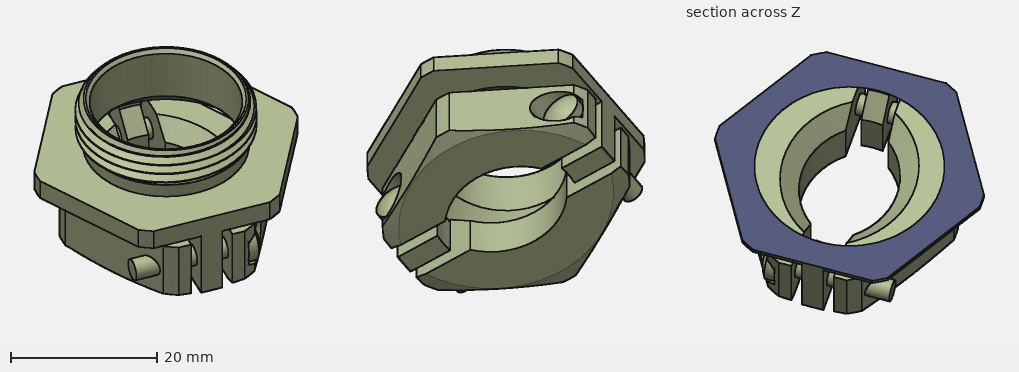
import cadquery as cq
import math


ACROSS_FLATS = 33.93
CORNER_RADIUS = 19.0
BOTTOM_RADIUS = 16.8
BODY_CHAMFER_ANGLE = 16.0

JAW_TOP = 9.0
PLATE_BOTTOM = 10.0
PLATE_TOP = 13.0
THREAD_BOTTOM = 15.0
TOTAL_HEIGHT = 21.0

BORE_RADIUS = 10.45
CHAMBER_RADIUS = 13.5
CHAMBER_BOTTOM = 9.45
CHAMBER_CONE_HEIGHT = CHAMBER_RADIUS - BORE_RADIUS
MOUTH_CHAMFER = 0.55

NECK_RADIUS = 11.4
THREAD_ROOT_RADIUS = 11.47
THREAD_CREST_RADIUS = 12.42
THREAD_PITCH = 1.52
THREAD_CREST_FLAT = 0.1
THREAD_ROOT_FLAT = 0.23
THREAD_CREST_HEIGHT = 17.95
GROOVE_TURNS = 5
GROOVE_OVERCUT = 0.05
SPIGOT_TOP_RADIUS = 11.3
SPIGOT_TOP_TAPER_HEIGHT = 1.45

WEB_THICKNESS = 3.08
JAW_HALF_GAP = 3.05
JAW_SHIFT = 3.7

SCREW_X = 13.9
SCREW_HEIGHT = 4.5
SCREW_DIAMETER = 3.05
SCREW_END_Y = -10.5
HEAD_SEAT_Y = 5.6
HEAD_RADIUS = 2.8
HEAD_RIM_HEIGHT = 1.45
HEAD_DOME_HEIGHT = 0.87
COUNTERBORE_RADIUS = 3.23


def hexagon_prism(bottom, top):
    """Hexagon with flats facing +X and -X and turned corners."""
    across_corners = ACROSS_FLATS / math.cos(math.radians(30))
    height = top - bottom
    hexagon = (
        cq.Workplane("XY").workplane(offset=bottom)
        .polygon(6, across_corners).extrude(height)
        .rotate((0, 0, 0), (0, 0, 1), 30)
    )
    turned = cq.Workplane("XY").workplane(offset=bottom).circle(CORNER_RADIUS).extrude(height)
    return hexagon.intersect(turned)


def box_between(x_range, y_range, z_range):
    """Box spanning the given ranges."""
    (x0, x1), (y0, y1), (z0, z1) = x_range, y_range, z_range
    return cq.Workplane("XY").box(x1 - x0, y1 - y0, z1 - z0, centered=False).translate((x0, y0, z0))


def turned_about_z(points):
    """Solid of revolution about Z from (radius, height) points, profiled on the +Y side."""
    return cq.Workplane("YZ").polyline(points).close().revolve(360, (0, 0, 0), (0, 1, 0))


def make_passage():
    """Through bore with its seal chamber and chamfered mouth."""
    return turned_about_z([
        (0, 0),
        (BORE_RADIUS, 0),
        (BORE_RADIUS, CHAMBER_BOTTOM - CHAMBER_CONE_HEIGHT),
        (CHAMBER_RADIUS, CHAMBER_BOTTOM),
        (CHAMBER_RADIUS, PLATE_BOTTOM),
        (BORE_RADIUS, PLATE_BOTTOM + CHAMBER_CONE_HEIGHT),
        (BORE_RADIUS, TOTAL_HEIGHT - MOUTH_CHAMFER),
        (BORE_RADIUS + MOUTH_CHAMFER, TOTAL_HEIGHT),
        (0, TOTAL_HEIGHT),
    ])


def make_lower_hexagon():
    """Hexagon below the plate with its bottom corners chamfered."""
    rise = (CORNER_RADIUS - BOTTOM_RADIUS) * math.tan(math.radians(BODY_CHAMFER_ANGLE))
    envelope = turned_about_z([
        (0, 0), (BOTTOM_RADIUS, 0), (CORNER_RADIUS, rise), (CORNER_RADIUS, PLATE_BOTTOM), (0, PLATE_BOTTOM),
    ])
    return hexagon_prism(0, PLATE_BOTTOM).intersect(envelope)


def make_thread():
    """Right-handed thread cut as a helical groove into a blank tapered at both ends."""
    blank = turned_about_z([
        (0, THREAD_BOTTOM),
        (NECK_RADIUS, THREAD_BOTTOM),
        (THREAD_CREST_RADIUS, THREAD_BOTTOM + THREAD_CREST_RADIUS - NECK_RADIUS),
        (THREAD_CREST_RADIUS, TOTAL_HEIGHT - SPIGOT_TOP_TAPER_HEIGHT),
        (SPIGOT_TOP_RADIUS, TOTAL_HEIGHT),
        (0, TOTAL_HEIGHT),
    ])
    start = THREAD_CREST_HEIGHT - (GROOVE_TURNS / 2) * THREAD_PITCH
    half_root = THREAD_ROOT_FLAT / 2
    half_mouth = (THREAD_PITCH - THREAD_CREST_FLAT) / 2
    flank_slope = (half_mouth - half_root) / (THREAD_CREST_RADIUS - THREAD_ROOT_RADIUS)
    outer_radius = THREAD_CREST_RADIUS + GROOVE_OVERCUT
    half_outer = half_mouth + flank_slope * GROOVE_OVERCUT
    helix = cq.Wire.makeHelix(THREAD_PITCH, GROOVE_TURNS * THREAD_PITCH, THREAD_ROOT_RADIUS)
    groove = (
        cq.Workplane("XZ")
        .polyline([
            (THREAD_ROOT_RADIUS, -half_root),
            (outer_radius, -half_outer),
            (outer_radius, half_outer),
            (THREAD_ROOT_RADIUS, half_root),
        ])
        .close()
        .sweep(cq.Workplane(obj=helix), isFrenet=True)
        .translate((0, 0, start))
    )
    return blank.cut(groove)


def make_body(passage, lower_hexagon):
    """Plate, threaded spigot and the two webs that hang below the plate."""
    neck = (
        cq.Workplane("XY").workplane(offset=PLATE_TOP)
        .circle(NECK_RADIUS).extrude(THREAD_BOTTOM - PLATE_TOP)
    )
    web_slab = box_between(
        (-CORNER_RADIUS, CORNER_RADIUS), (-WEB_THICKNESS / 2, WEB_THICKNESS / 2), (0, PLATE_BOTTOM))
    webs = lower_hexagon.intersect(web_slab)
    plate = hexagon_prism(PLATE_BOTTOM, PLATE_TOP)
    return plate.union(webs).union(neck).union(make_thread()).cut(passage)


def make_front_jaw(passage, lower_hexagon):
    """Jaw on the -Y side, slid inward to its clamped position."""
    jaw_region = box_between(
        (-CORNER_RADIUS, CORNER_RADIUS), (-CORNER_RADIUS, -JAW_HALF_GAP - JAW_SHIFT), (0, JAW_TOP))
    return lower_hexagon.intersect(jaw_region).cut(passage).translate((0, JAW_SHIFT, 0))


def cylinder_along_y(x, radius, y_start, y_end):
    """Cylinder parallel to Y at screw height."""
    return (
        cq.Workplane("XZ", origin=(x, y_end, SCREW_HEIGHT))
        .circle(radius).extrude(y_end - y_start)
    )


def make_screw(x):
    """Screw with a domed cylindrical head."""
    rim_y = HEAD_SEAT_Y + HEAD_RIM_HEIGHT
    dome_y = rim_y + HEAD_DOME_HEIGHT
    dome_radius = (HEAD_RADIUS ** 2 + HEAD_DOME_HEIGHT ** 2) / (2 * HEAD_DOME_HEIGHT)
    dome_mid = dome_radius * math.sin(math.asin(HEAD_RADIUS / dome_radius) / 2)
    dome_mid_y = dome_y - dome_radius + math.sqrt(dome_radius ** 2 - dome_mid ** 2)
    head = (
        cq.Workplane("XY")
        .moveTo(0, HEAD_SEAT_Y)
        .lineTo(HEAD_RADIUS, HEAD_SEAT_Y)
        .lineTo(HEAD_RADIUS, rim_y)
        .threePointArc((dome_mid, dome_mid_y), (0, dome_y))
        .close()
        .revolve(360, (0, 0, 0), (0, 1, 0))
        .translate((x, 0, SCREW_HEIGHT))
    )
    shank = cylinder_along_y(x, SCREW_DIAMETER / 2, SCREW_END_Y, HEAD_SEAT_Y)
    return shank.union(head)


passage = make_passage()
lower_hexagon = make_lower_hexagon()
front_jaw = make_front_jaw(passage, lower_hexagon)
rear_jaw = front_jaw.mirror("XZ")
for screw_x in (-SCREW_X, SCREW_X):
    rear_jaw = rear_jaw.cut(cylinder_along_y(screw_x, COUNTERBORE_RADIUS, HEAD_SEAT_Y, CORNER_RADIUS))

result = make_body(passage, lower_hexagon).union(front_jaw).union(rear_jaw)
for screw_x in (-SCREW_X, SCREW_X):
    result = result.union(make_screw(screw_x))